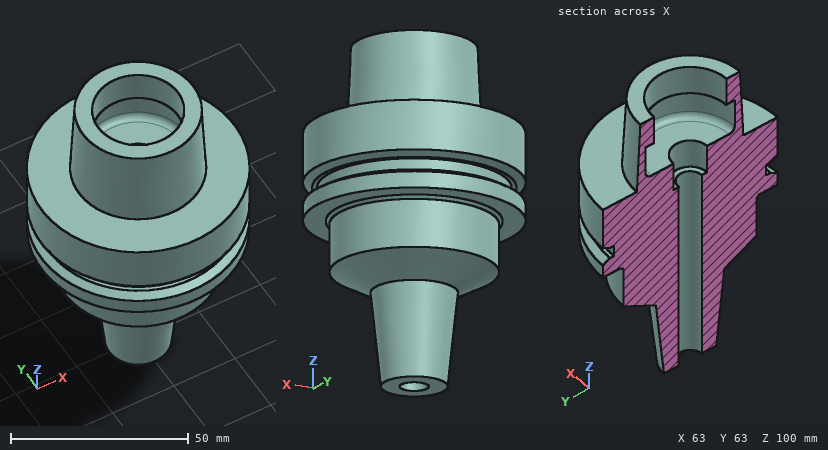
import cadquery as cq

SHANK_LENGTH = 25.0
SHANK_BASE_DIAMETER = 38.5
SHANK_TAPER = 0.1
SHANK_TOP_DIAMETER = SHANK_BASE_DIAMETER - SHANK_TAPER * SHANK_LENGTH

FLANGE_DIAMETER = 63.0
FLANGE_LENGTH = 26.0
UPPER_RIM_LENGTH = 14.7
LOWER_RIM_LENGTH = 4.8
GROOVE_DIAMETER = 55.0
GROOVE_FLOOR_LENGTH = 3.7
GROOVE_LIP_DIAMETER = 57.8

BODY_DIAMETER = 48.0
BODY_LENGTH = 15.2
ROOT_FLARE = 1.0

NOSE_LENGTH = 27.7
NOSE_BASE_DIAMETER = 24.8
NOSE_TIP_DIAMETER = 19.0
OVERHANG = 75.0

SOCKET_DIAMETER = 26.0
SOCKET_MOUTH_DEPTH = 10.0
CLAMP_RECESS_DIAMETER = 32.0
SOCKET_DEPTH = 21.7
RECESS_FLOOR_FILLET = 2.0
COUNTERBORE_DIAMETER = 12.0
COUNTERBORE_DEPTH = 10.0
THROUGH_BORE_DIAMETER = 8.2


def bore(diameter, top, depth):
    """Cylinder on the tool axis, running down from the height `top`."""
    return cq.Workplane("XY").workplane(offset=top - depth).circle(diameter / 2).extrude(depth)


def revolved_holder():
    """Solid outside shape, as (diameter, height) corners from shank top to nose tip."""
    groove_side_height = (FLANGE_LENGTH - UPPER_RIM_LENGTH - LOWER_RIM_LENGTH - GROOVE_FLOOR_LENGTH) / 2
    groove_start = -UPPER_RIM_LENGTH
    groove_floor_top = groove_start - groove_side_height
    groove_floor_bottom = groove_floor_top - GROOVE_FLOOR_LENGTH
    groove_end = groove_floor_bottom - groove_side_height
    nose_root = NOSE_LENGTH - OVERHANG
    body_bottom = -FLANGE_LENGTH - BODY_LENGTH

    corners = [
        (0, SHANK_LENGTH),
        (SHANK_TOP_DIAMETER, SHANK_LENGTH),
        (SHANK_BASE_DIAMETER, 0),
        (FLANGE_DIAMETER, 0),
        (FLANGE_DIAMETER, groove_start),
        (GROOVE_LIP_DIAMETER, groove_floor_top),
        (GROOVE_DIAMETER, groove_floor_top),
        (GROOVE_DIAMETER, groove_floor_bottom),
        (GROOVE_LIP_DIAMETER, groove_floor_bottom),
        (FLANGE_DIAMETER, groove_end),
        (FLANGE_DIAMETER, -FLANGE_LENGTH),
        (BODY_DIAMETER + 2 * ROOT_FLARE, -FLANGE_LENGTH),
        (BODY_DIAMETER, -FLANGE_LENGTH - ROOT_FLARE),
        (BODY_DIAMETER, body_bottom),
        (NOSE_BASE_DIAMETER, nose_root),
        (NOSE_TIP_DIAMETER, -OVERHANG),
        (0, -OVERHANG),
    ]
    profile = [(diameter / 2, height) for diameter, height in corners]
    return cq.Workplane("YZ").polyline(profile).close().revolve(360, (0, 0, 0), (0, 1, 0))


def stepped_bore():
    """Open socket with its round-cornered clamping recess, then the counterbore and through bore."""
    socket_floor = SHANK_LENGTH - SOCKET_DEPTH
    recess_top = SHANK_LENGTH - SOCKET_MOUTH_DEPTH
    recess = bore(CLAMP_RECESS_DIAMETER, recess_top, recess_top - socket_floor)
    recess = recess.faces("<Z").edges().fillet(RECESS_FLOOR_FILLET)
    return (
        bore(SOCKET_DIAMETER, SHANK_LENGTH, SOCKET_MOUTH_DEPTH)
        .union(recess)
        .union(bore(COUNTERBORE_DIAMETER, socket_floor, COUNTERBORE_DEPTH))
        .union(bore(THROUGH_BORE_DIAMETER, SHANK_LENGTH, SHANK_LENGTH + OVERHANG))
    )


result = revolved_holder().cut(stepped_bore())